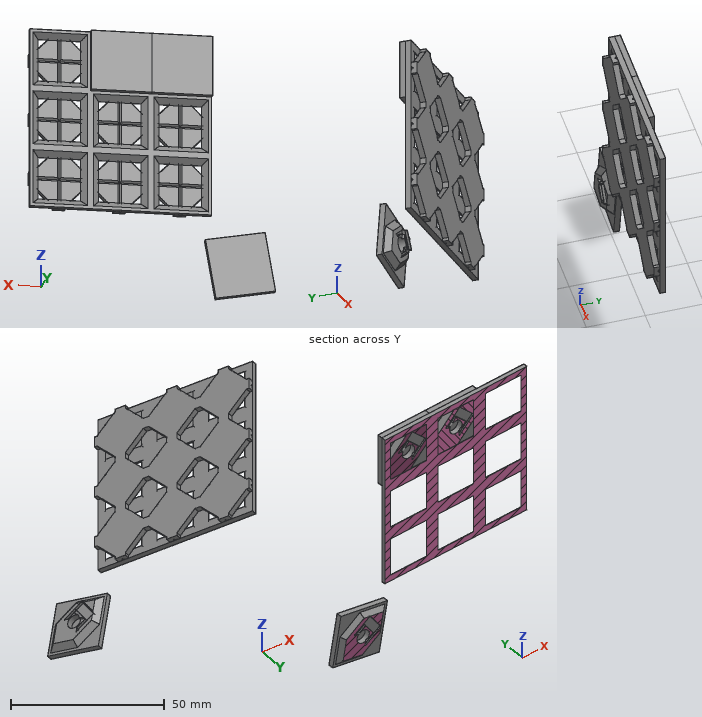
import cadquery as cq
import math

total_width = 80.8
total_depth = 6.0
total_height = 88.8
layer = total_depth / 3
lattice_back = 0.0

cell_count = 3
plate_size = 60.0
cell_pitch = plate_size / cell_count
cell_lines = [(index - (cell_count - 1) / 2) * cell_pitch for index in range(cell_count)]

window_size = 13.9

tab_width = 4.0
opening_flat = 2.0
groove_width = 1.2
groove_depth = groove_width / 2

boss_cut_distance = 5.5
hole_diameter = 5.0
hole_floor = 1.6
channel_half_width = 4.0
channel_end = 6.4
channel_depth = 1.0
channel_limit = 1.5
island_half_width = 2.9
island_end = 3.2
catch_height = 0.9
catch_limit = 0.4
lip_thickness = 0.35
diagonal_angle = 45
tile_bounds = 2 * channel_end

loose_tile_turn = 10
loose_tile_reach = cell_pitch / 2 * (
    math.cos(math.radians(loose_tile_turn)) + math.sin(math.radians(loose_tile_turn))
)
loose_tile_x = plate_size / 2 - total_width + loose_tile_reach
loose_tile_z = plate_size / 2 - total_height + loose_tile_reach
fitted_cells = [(-1, 1), (0, 1)]


def front_plane(y):
    """Plane facing -Y at the given Y, with its local axes along +X and +Z."""
    return cq.Workplane("XZ", origin=(0, y, 0))


def block(x_min, x_max, z_min, z_max, y_front, y_back):
    """Box given by its limits."""
    return cq.Workplane("XY").box(
        x_max - x_min, y_back - y_front, z_max - z_min, centered=False
    ).translate((x_min, y_front, z_min))


def diagonal_block(u_min, u_max, half_width, y_front, y_back):
    """Box lying along the tile's diagonal towards +X and +Z."""
    straight = block(u_min, u_max, -half_width, half_width, y_front, y_back)
    return straight.rotate((0, 0, 0), (0, 1, 0), -diagonal_angle)


def tapered_square(front_size, y_front, y_back):
    """Square frustum whose sides widen at 45 degrees towards +Y."""
    back_size = front_size + 2 * (y_back - y_front)
    return (
        front_plane(y_back).rect(back_size, back_size)
        .workplane(offset=y_back - y_front).rect(front_size, front_size)
        .loft(ruled=True)
    )


def cell_centres():
    """X and Z of every cell centre, measured from the middle of the plate."""
    return [(x, z) for x in cell_lines for z in cell_lines]


def make_grid_plate():
    """Square plate with a tapered window in every cell."""
    plate = front_plane(layer).rect(plate_size, plate_size).extrude(layer)
    window = tapered_square(window_size, lattice_back, layer)
    for x, z in cell_centres():
        plate = plate.cut(window.translate((x, 0, z)))
    return plate


def make_boss():
    """Tapered boss with two opposite corners cut off along the diagonal."""
    boss = tapered_square(window_size, lattice_back, layer)
    back_half = boss_cut_distance + layer
    ridge = (
        cq.Workplane("XY")
        .polyline([
            (-boss_cut_distance, lattice_back),
            (boss_cut_distance, lattice_back),
            (back_half, layer),
            (-back_half, layer),
        ])
        .close().extrude(tile_bounds, both=True)
        .rotate((0, 0, 0), (0, 1, 0), diagonal_angle)
    )
    return boss.intersect(ridge)


def make_channel():
    """Cutter for the U-shaped channel that runs round the island, with legs towards -X and -Z."""
    outer = diagonal_block(-channel_end, channel_end, channel_half_width, lattice_back, channel_depth)
    island = diagonal_block(-channel_end, island_end, island_half_width, lattice_back, channel_depth)
    kept_side = block(-tile_bounds, channel_limit, -tile_bounds, channel_limit, lattice_back, channel_depth)
    return outer.cut(island).cut(kept_side)


def make_catches():
    """Raised corner on the island and raised lip behind the channel."""
    boss_half = window_size / 2
    top = lattice_back - catch_height
    corner = diagonal_block(0, island_end, island_half_width, top, lattice_back)
    corner = corner.intersect(block(catch_limit, boss_half, catch_limit, boss_half, top, lattice_back))
    lip = diagonal_block(channel_end, channel_end + lip_thickness, channel_half_width, top, lattice_back)
    lip = lip.intersect(block(-boss_half, boss_half, -boss_half, boss_half, top, lattice_back))
    return corner, lip


def make_tile():
    """Square base with the boss, its channel, catches and blind hole, centred on a cell."""
    base = front_plane(2 * layer).rect(cell_pitch, cell_pitch).extrude(layer)
    corner, lip = make_catches()
    hole = (
        front_plane(2 * layer - hole_floor).circle(hole_diameter / 2)
        .extrude(2 * layer - hole_floor + catch_height)
    )
    return base.union(make_boss()).cut(make_channel()).union(corner).union(lip).cut(hole)


def make_lattice(fitted_tiles):
    """Sheet with diamond openings at the cell corners and V grooves along the cell centre lines."""
    lattice = front_plane(lattice_back).rect(plate_size, plate_size).extrude(layer)
    half_span = (cell_pitch - tab_width) / 2
    half_flat = opening_flat / 2
    opening = (
        front_plane(lattice_back)
        .polyline([
            (half_flat, half_span), (half_span, half_flat),
            (half_span, -half_flat), (half_flat, -half_span),
            (-half_flat, -half_span), (-half_span, -half_flat),
            (-half_span, half_flat), (-half_flat, half_span),
        ])
        .close().extrude(layer)
    )
    for column in range(cell_count + 1):
        for row in range(cell_count + 1):
            x = column * cell_pitch - plate_size / 2
            z = row * cell_pitch - plate_size / 2
            lattice = lattice.cut(opening.translate((x, 0, z)))

    groove = (
        cq.Workplane("XY")
        .polyline([(-groove_width / 2, lattice_back), (groove_width / 2, lattice_back), (0, -groove_depth)])
        .close().extrude(plate_size / 2, both=True)
    )
    cross_groove = groove.rotate((0, 0, 0), (0, 1, 0), 90)
    for offset in cell_lines:
        lattice = lattice.cut(groove.translate((offset, 0, 0)))
        lattice = lattice.cut(cross_groove.translate((0, 0, offset)))

    for tile in fitted_tiles:
        lattice = lattice.cut(tile)
    return lattice


tile = make_tile()
fitted_tiles = [tile.translate((column * cell_pitch, 0, row * cell_pitch)) for column, row in fitted_cells]
loose_tile = (
    tile.rotate((0, 0, 0), (0, 1, 0), loose_tile_turn)
    .translate((loose_tile_x, 0, loose_tile_z))
)
grid_plate = make_grid_plate()
lattice = make_lattice(fitted_tiles)

result = cq.Compound.makeCompound([
    grid_plate.val(),
    lattice.val(),
    *[fitted.val() for fitted in fitted_tiles],
    loose_tile.val(),
])